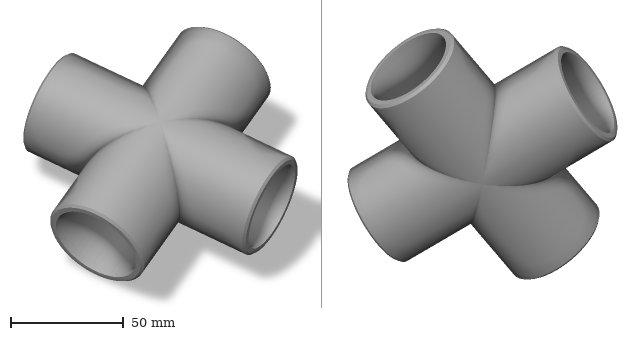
import cadquery as cq

length = 114.3
outer_diameter = 48.2
bore_diameter = 40.9
end_chamfer = 1.1


def centred_cylinder(plane, diameter):
    """Cylinder of the full cross length, centred along the normal of the plane."""
    return cq.Workplane(plane).circle(diameter / 2).extrude(length / 2, both=True)


def chamfered_pipe_body(plane, axis):
    """Solid pipe body with both outer end edges chamfered."""
    body = centred_cylinder(plane, outer_diameter)
    return body.faces(f"<{axis} or >{axis}").edges().chamfer(end_chamfer)


body_x = chamfered_pipe_body("YZ", "X")
body_y = chamfered_pipe_body("XZ", "Y")
cross = body_x.union(body_y)

for bore_plane in ("YZ", "XZ"):
    cross = cross.cut(centred_cylinder(bore_plane, bore_diameter))

result = cross